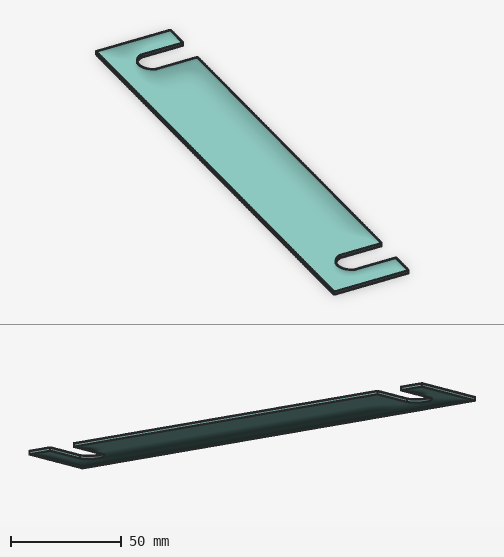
import cadquery as cq

length = 228.5
width = 38.2
thickness = 1.58

slot_width = 13.7
slot_depth = 26.3
slot_inset = 19.0
arc_sagitta = 5.0

half_slot = slot_width / 2
slot_spacing = length - 2 * slot_inset
back_edge = width / 2
arc_start_y = back_edge - slot_depth + arc_sagitta


def slot_cutter(center_x):
    """Through-cutter for one slot, with a shallow arc as its closed end."""
    return (
        cq.Workplane("XY")
        .moveTo(center_x - half_slot, back_edge)
        .lineTo(center_x - half_slot, arc_start_y)
        .threePointArc((center_x, back_edge - slot_depth), (center_x + half_slot, arc_start_y))
        .lineTo(center_x + half_slot, back_edge)
        .close()
        .extrude(thickness)
    )


result = cq.Workplane("XY").box(length, width, thickness, centered=(True, True, False))
for side in (-1, 1):
    result = result.cut(slot_cutter(side * slot_spacing / 2))